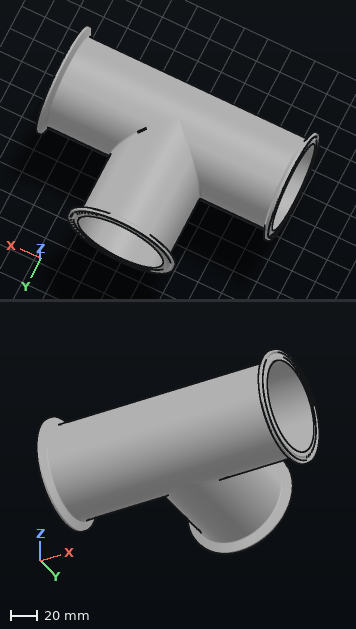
import cadquery as cq
import math

run_length = 196.8
tube_diameter = 76.2
bore_diameter = 72.8
crotch_radius = 1.4

flange_diameter = 91.0
ferrule_length = 12.5
rim_thickness = 2.8
rim_edge_radius = 0.4
taper_angle = 20.0
root_radius = 1.0

groove_diameter = 83.0
groove_width = 3.1
groove_depth = 1.0
groove_edge_radius = 0.5

reach = run_length / 2
tube_length = reach - ferrule_length
tube_radius = tube_diameter / 2
bore_radius = bore_diameter / 2
flange_radius = flange_diameter / 2
groove_radius = groove_diameter / 2
groove_inner = groove_radius - groove_width / 2
groove_outer = groove_radius + groove_width / 2
rim_back = reach - rim_thickness
taper_length = (flange_radius - tube_radius) * math.tan(math.radians(taper_angle))
taper_end = rim_back - taper_length

size_tolerance = 0.02


def solid_tee(radius):
    """Equal cylinders: the run along X and the branch along +Y."""
    run = cq.Workplane("YZ").circle(radius).extrude(tube_length, both=True)
    branch = cq.Workplane("XZ").circle(radius).extrude(-tube_length)
    return run.union(branch)


def tube_body():
    """Bored tube tee with fillets where the branch meets the run."""
    body = solid_tee(tube_radius)
    box_reach = tube_radius + crotch_radius
    crotch_box = cq.selectors.BoxSelector(
        (-box_reach, -crotch_radius, -box_reach),
        (box_reach, box_reach, box_reach),
    )
    body = body.edges(crotch_box).fillet(crotch_radius)
    return body.cut(solid_tee(bore_radius))


def round_ring(part, ring_radius, y, fillet_radius):
    """Fillet the circular edge of the given radius that lies at height y."""
    ring = [
        edge
        for edge in part.edges("%CIRCLE").vals()
        if abs(edge.radius() - ring_radius) < size_tolerance
        and abs(edge.Center().y - y) < size_tolerance
    ]
    return part.newObject(ring).fillet(fillet_radius)


def branch_ferrule():
    """Ferrule on the branch end: plain neck, tapered back, rim and grooved face."""
    ferrule = (
        cq.Workplane("XY")
        .moveTo(bore_radius, tube_length)
        .lineTo(tube_radius, tube_length)
        .lineTo(tube_radius, taper_end)
        .lineTo(flange_radius, rim_back)
        .lineTo(flange_radius, reach)
        .lineTo(groove_outer, reach)
        .threePointArc((groove_radius, reach - groove_depth), (groove_inner, reach))
        .lineTo(bore_radius, reach)
        .close()
        .revolve(360, (0, 0, 0), (0, 1, 0))
    )
    ferrule = round_ring(ferrule, tube_radius, taper_end, root_radius)
    ferrule = round_ring(ferrule, flange_radius, rim_back, rim_edge_radius)
    ferrule = round_ring(ferrule, flange_radius, reach, rim_edge_radius)
    ferrule = round_ring(ferrule, groove_outer, reach, groove_edge_radius)
    return round_ring(ferrule, groove_inner, reach, groove_edge_radius)


result = tube_body()
ferrule = branch_ferrule()
for turn in (-90, 0, 90):
    result = result.union(ferrule.rotate((0, 0, 0), (0, 0, 1), turn), clean=False)